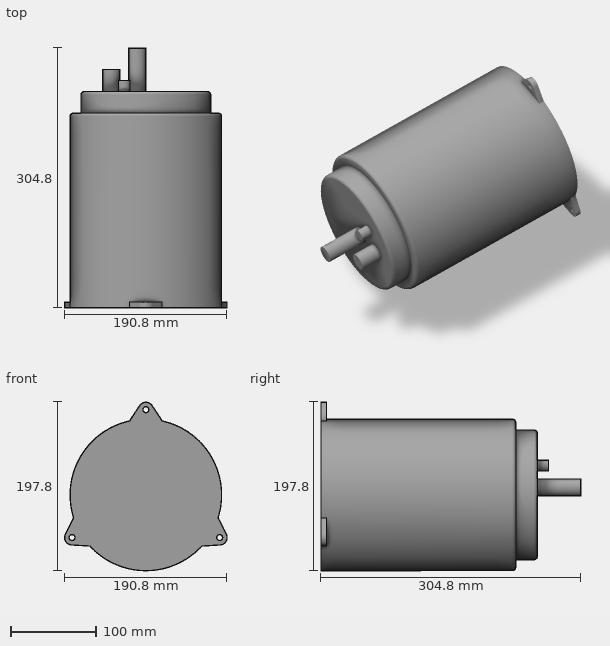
import cadquery as cq
import math

total_length = 304.8
body_radius = 89.0
body_length = 228.5
cap_radius = 76.2
cap_height = 25.3
cap_face = body_length + cap_height
edge_fillet = 4.0

lug_count = 3
lug_thickness = 6.7
lug_hole_distance = 100.0
lug_tip_radius = 8.8
lug_root_half_width = 19.2
lug_hole_diameter = 6.7

large_pipe_diameter = 20.0
small_pipe_diameter = 13.0
large_pipe_z = 8.8
pipes = [
    (-10.0, large_pipe_z, large_pipe_diameter, total_length),
    (-40.5, large_pipe_z, large_pipe_diameter, 279.8),
    (-25.3, 34.5, small_pipe_diameter, 267.0),
]


def rod(x, z, diameter, start, end):
    """Round bar parallel to Y between two Y positions."""
    axis_start = cq.Vector(x, start, z)
    solid = cq.Solid.makeCylinder(diameter / 2, end - start, axis_start, cq.Vector(0, 1, 0))
    return cq.Workplane(obj=solid)


def rounded_drum(radius, start, end):
    """Coaxial drum with a rounded far rim."""
    return rod(0, 0, 2 * radius, start, end).faces(">Y").edges().fillet(edge_fillet)


def lug():
    """Upper lug, whose straight flanks run tangent to its rounded tip."""
    root_z = math.sqrt(body_radius**2 - lug_root_half_width**2)
    root_drop = lug_hole_distance - root_z
    root_to_hole = math.hypot(lug_root_half_width, root_drop)
    flank_angle = math.atan2(lug_root_half_width, root_drop) - math.asin(lug_tip_radius / root_to_hole)
    tangent_x = lug_tip_radius * math.cos(flank_angle)
    tangent_z = lug_hole_distance + lug_tip_radius * math.sin(flank_angle)
    return (
        cq.Workplane("XZ")
        .moveTo(0, 0)
        .lineTo(lug_root_half_width, root_z)
        .lineTo(tangent_x, tangent_z)
        .threePointArc((0, lug_hole_distance + lug_tip_radius), (-tangent_x, tangent_z))
        .lineTo(-lug_root_half_width, root_z)
        .close()
        .extrude(-lug_thickness)
        .cut(rod(0, lug_hole_distance, lug_hole_diameter, 0, lug_thickness))
    )


result = rounded_drum(body_radius, 0, body_length)
result = result.union(rounded_drum(cap_radius, body_length, cap_face))

for index in range(lug_count):
    angle = index * 360 / lug_count
    result = result.union(lug().rotate((0, 0, 0), (0, 1, 0), angle))

for x, z, diameter, end in pipes:
    result = result.union(rod(x, z, diameter, cap_face, end))